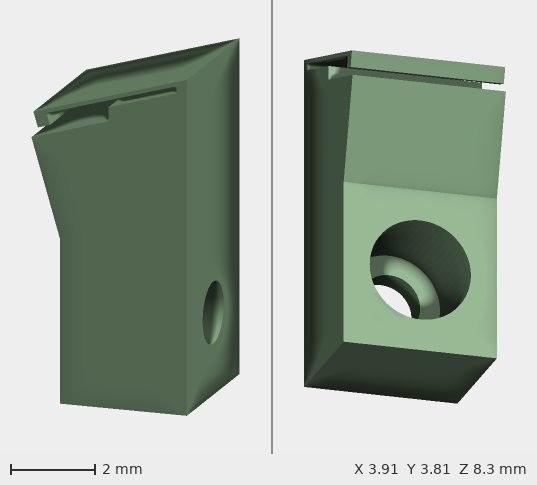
import cadquery as cq
import math

height = 8.3
width = 3.81
overhang_reach = 3.91
body_depth = 3.19
overhang_base = 4.06

plate_reach = 3.86
plate_drop = 1.145
slope = math.atan2(plate_drop, plate_reach)
plate_length = math.hypot(plate_reach, plate_drop)
plate_thickness = 0.1

lip_height = 0.4
lip_width = 0.315

slot_floor_depth = 0.265
pocket_floor_depth = 0.6
slot_end = 0.26
step_position = 1.975
corner_radius = 0.05
step_radius = 0.03

hole_height = 2.03
bore_diameter = 1.53
counterbore_diameter = 2.515
counterbore_depth = 2.49


def head_point(along, below):
    """XZ point given by distance down the slope and depth square to it."""
    x = -along * math.cos(slope) + below * math.sin(slope)
    z = height - along * math.sin(slope) - below * math.cos(slope)
    return x, z


def below_slope(reach, below):
    """XZ point at a given reach from the back face and depth square to the slope."""
    return -reach, height - reach * math.tan(slope) - below / math.cos(slope)


def make_profile():
    tip = below_slope(overhang_reach, pocket_floor_depth)
    lip_inner = plate_length - lip_width
    outline = [
        (0, 0),
        (0, height),
        head_point(plate_length, 0),
        head_point(plate_length, lip_height),
        head_point(lip_inner, lip_height),
        head_point(lip_inner, plate_thickness),
        below_slope(slot_end, plate_thickness),
        below_slope(slot_end, slot_floor_depth),
        below_slope(step_position, slot_floor_depth),
        below_slope(step_position, pocket_floor_depth),
        tip,
        (-body_depth, overhang_base),
        (-body_depth, 0),
    ]
    return cq.Workplane("XZ").polyline(outline).close().extrude(width / 2, both=True)


def round_corner(body, corner, radius):
    """Round the edge running along Y through the given XZ corner."""
    nearest = cq.selectors.NearestToPointSelector((corner[0], 0, corner[1]))
    return body.edges("|Y").edges(nearest).fillet(radius)


def cut_stepped_hole(body):
    front = cq.Workplane("YZ", origin=(-body_depth, 0, hole_height))
    bore = front.circle(bore_diameter / 2).extrude(body_depth)
    counterbore = front.circle(counterbore_diameter / 2).extrude(counterbore_depth)
    return body.cut(bore).cut(counterbore)


result = make_profile()
result = round_corner(result, head_point(plate_length - lip_width, plate_thickness), corner_radius)
result = round_corner(result, below_slope(slot_end, plate_thickness), corner_radius)
result = round_corner(result, below_slope(step_position, pocket_floor_depth), step_radius)
result = cut_stepped_hole(result)